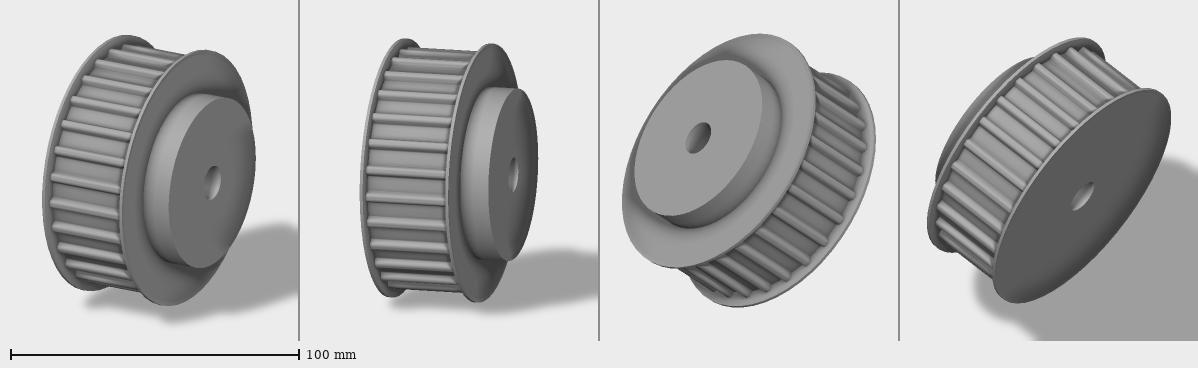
import cadquery as cq
import math

overall_length = 42.0
flanged_length = 32.0
hub_diameter = 59.9
bore_diameter = 12.1

flange_diameter = 90.0
flange_flat_diameter = 87.1
flange_thickness = 1.1
flange_bend = 0.2

tooth_count = 27
tip_diameter = 84.1
root_diameter = 79.4
groove_root_width = 5.3
flank_angle = 25.0
tip_fillet = 1.2
root_fillet = 0.45

radius_tolerance = 0.01
groove_overshoot = 0.9
tip_radius = tip_diameter / 2
root_radius = root_diameter / 2
tooth_pitch_angle = 360 / tooth_count
teeth_start = flange_thickness + flange_bend
teeth_length = flanged_length - 2 * teeth_start


def groove_cutter(angle):
    """Tapered groove along X with a cylindrical floor, turned about X from +Z."""
    root_half_width = groove_root_width / 2
    corner_height = math.sqrt(root_radius**2 - root_half_width**2)
    mouth_height = tip_radius + groove_overshoot
    flank_slope = math.tan(math.radians(flank_angle))
    mouth_half_width = root_half_width + (mouth_height - corner_height) * flank_slope
    return (
        cq.Workplane("YZ", origin=(teeth_start, 0, 0))
        .moveTo(-mouth_half_width, mouth_height)
        .lineTo(-root_half_width, corner_height)
        .threePointArc((0, root_radius), (root_half_width, corner_height))
        .lineTo(mouth_half_width, mouth_height)
        .close()
        .extrude(teeth_length)
        .rotate((0, 0, 0), (1, 0, 0), angle)
    )


def edges_at_radius(body, radius):
    """Lengthwise tooth edges lying at the given distance from the axis."""
    lengthwise = body.edges("|X")
    return lengthwise.filter(
        lambda edge: abs(math.hypot(edge.Center().y, edge.Center().z) - radius) < radius_tolerance
    )


def toothed_body():
    """Cylinder between the flanges with rounded grooves cut around it."""
    body = cq.Workplane("YZ", origin=(teeth_start, 0, 0)).circle(tip_radius).extrude(teeth_length)
    for index in range(tooth_count):
        body = body.cut(groove_cutter((index + 0.5) * tooth_pitch_angle))
    body = edges_at_radius(body, root_radius).fillet(root_fillet)
    return edges_at_radius(body, tip_radius).fillet(tip_fillet)


def flange():
    """Flange revolved about X with its bent rim starting at X = 0."""
    rim = flange_diameter / 2
    flat = flange_flat_diameter / 2
    return (
        cq.Workplane("XY")
        .moveTo(flange_bend, 0)
        .lineTo(flange_bend, flat)
        .lineTo(0, rim)
        .lineTo(flange_thickness, rim)
        .lineTo(flange_thickness + flange_bend, flat)
        .lineTo(flange_thickness + flange_bend, 0)
        .close()
        .revolve(360, (0, 0, 0), (1, 0, 0))
    )


near_flange = flange()
far_flange = near_flange.mirror("YZ").translate((flanged_length, 0, 0))
hub_start = flanged_length - flange_bend - flange_thickness
hub = (
    cq.Workplane("YZ", origin=(hub_start, 0, 0))
    .circle(hub_diameter / 2)
    .extrude(overall_length - hub_start)
)
bore = cq.Workplane("YZ").circle(bore_diameter / 2).extrude(overall_length)

result = toothed_body().union(near_flange).union(far_flange).union(hub).cut(bore)